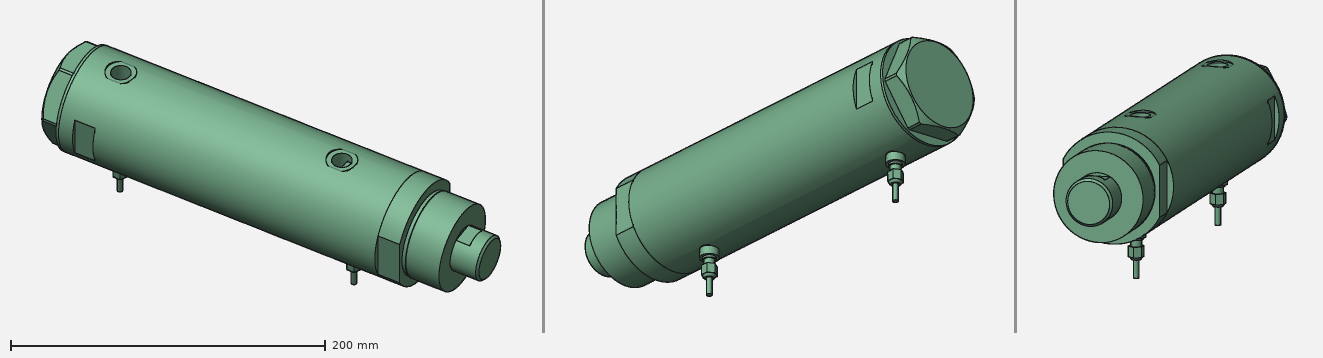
import cadquery as cq
import math


total_length = 311.5
outer_diameter = 73.0
outer_radius = outer_diameter / 2
bore_diameter = 40.0
head_plug_diameter = 59.8
rod_diameter = 31.0

hex_length = 14.3
hex_across_flats = 60.7
hex_corner_diameter = 69.2
hex_tilt = -7.3
hex_face_diameter = 59.2
hex_chamfer_length = 3.7
flange_thickness = 2.0
nose_end_x = 42.0

tube_start_x = hex_length + flange_thickness
tube_end_x = 248.0
wrench_flat_start_x = 26.5
wrench_flat_length = 15.0
tube_across_flats = 67.0

port_positions = (41.0, 203.0)
port_diameter = 13.0
spotface_diameter = 20.2
spotface_depth = 1.1

collar_length = 16.0
collar_across_flats = 64.5
groove_width = 2.8
groove_diameter = 58.5
neck_diameter = 59.8
neck_end_x = 291.3
head_plug_start_x = 203.5

piston_length = 18.7
rod_chamfer = 1.5
rod_flat_end_x = 301.2
rod_across_flats = 26.8

sensor_positions = (40.5, 211.8)
sensor_seat_z = -35.5
sensor_head_diameter = 12.5
sensor_head_bottom_z = -42.0
sensor_step_diameter = 9.0
sensor_step_bottom_z = -43.5
sensor_stem_diameter = 7.2
gland_top_z = -48.0
gland_bottom_z = -54.8
gland_across_flats = 9.0
gland_tip_z = -56.7
gland_tip_diameter = 6.2
cable_diameter = 3.7
cable_bottom_z = -69.0


def x_cylinder(diameter, start_x, end_x):
    """Round bar on the X axis."""
    profile = cq.Workplane("XZ").moveTo(start_x, 0).lineTo(end_x, 0)
    profile = profile.lineTo(end_x, diameter / 2).lineTo(start_x, diameter / 2).close()
    return profile.revolve(360, (0, 0, 0), (1, 0, 0))


def z_cylinder(diameter, x, bottom_z, top_z):
    """Round bar parallel to Z, centred on y = 0."""
    return cq.Workplane("XY", origin=(x, 0, bottom_z)).circle(diameter / 2).extrude(top_z - bottom_z)


def across_corners(across_flats):
    """Corner-to-corner size of a hexagon."""
    return across_flats / math.cos(math.pi / 6)


def flat_slab(axis, across_flats, start_x, end_x):
    """Slab centred on the cylinder axis; a round bar intersected with it gets two flats across that axis."""
    width_y = across_flats if axis == "Y" else outer_diameter
    width_z = across_flats if axis == "Z" else outer_diameter
    return cq.Workplane("YZ", origin=(start_x, 0, 0)).rect(width_y, width_z).extrude(end_x - start_x)


def flatted_bar(diameter, start_x, end_x, axis, across_flats):
    """Round bar on the X axis with two parallel flats."""
    return x_cylinder(diameter, start_x, end_x).intersect(flat_slab(axis, across_flats, start_x, end_x))


def make_end_cap():
    hexagon = cq.Workplane("YZ").polygon(6, across_corners(hex_across_flats)).extrude(hex_length)
    hexagon = hexagon.rotate((0, 0, 0), (1, 0, 0), hex_tilt)
    corner_radius = hex_corner_diameter / 2
    turned_shape = (
        cq.Workplane("XZ")
        .polyline([
            (0, 0),
            (0, hex_face_diameter / 2),
            (hex_chamfer_length, corner_radius),
            (hex_length, corner_radius),
            (hex_length, 0),
        ])
        .close()
        .revolve(360, (0, 0, 0), (1, 0, 0))
    )
    flange = x_cylinder(outer_diameter, hex_length, tube_start_x)
    nose = x_cylinder(bore_diameter, tube_start_x, nose_end_x)
    return hexagon.intersect(turned_shape).union(flange).union(nose)


def make_tube():
    wrench_flat_end_x = wrench_flat_start_x + wrench_flat_length
    tube = (
        x_cylinder(outer_diameter, tube_start_x, wrench_flat_start_x)
        .union(flatted_bar(outer_diameter, wrench_flat_start_x, wrench_flat_end_x, "Y", tube_across_flats))
        .union(x_cylinder(outer_diameter, wrench_flat_end_x, tube_end_x))
        .cut(x_cylinder(bore_diameter, tube_start_x, head_plug_start_x))
        .cut(x_cylinder(head_plug_diameter, head_plug_start_x, tube_end_x))
    )
    for x in port_positions:
        tube = tube.cut(z_cylinder(port_diameter, x, 0, outer_radius))
        tube = tube.cut(z_cylinder(spotface_diameter, x, outer_radius - spotface_depth, outer_radius))
    for x in sensor_positions:
        tube = tube.cut(z_cylinder(sensor_head_diameter, x, -outer_radius, sensor_seat_z))
    return tube


def make_head():
    collar_end_x = tube_end_x + collar_length
    neck_start_x = collar_end_x + groove_width
    head = (
        x_cylinder(head_plug_diameter, head_plug_start_x, tube_end_x)
        .union(flatted_bar(outer_diameter, tube_end_x, collar_end_x, "Y", collar_across_flats))
        .union(x_cylinder(groove_diameter, collar_end_x, neck_start_x))
        .union(x_cylinder(neck_diameter, neck_start_x, neck_end_x))
    )
    return head.cut(x_cylinder(rod_diameter, head_plug_start_x, neck_end_x))


def make_rod():
    piston_end_x = nose_end_x + piston_length
    tip = x_cylinder(rod_diameter, rod_flat_end_x, total_length).faces(">X").chamfer(rod_chamfer)
    return (
        x_cylinder(bore_diameter, nose_end_x, piston_end_x)
        .union(x_cylinder(rod_diameter, piston_end_x, neck_end_x))
        .union(flatted_bar(rod_diameter, neck_end_x, rod_flat_end_x, "Z", rod_across_flats))
        .union(tip)
    )


def make_sensor(x):
    gland_height = gland_top_z - gland_bottom_z
    gland = (
        cq.Workplane("XY", origin=(x, 0, gland_bottom_z))
        .polygon(6, across_corners(gland_across_flats))
        .extrude(gland_height)
    )
    gland_tip = (
        cq.Workplane("XY", origin=(x, 0, gland_bottom_z))
        .circle(gland_across_flats / 2)
        .workplane(offset=gland_tip_z - gland_bottom_z)
        .circle(gland_tip_diameter / 2)
        .loft()
    )
    return (
        z_cylinder(sensor_head_diameter, x, sensor_head_bottom_z, sensor_seat_z)
        .union(z_cylinder(sensor_step_diameter, x, sensor_step_bottom_z, sensor_head_bottom_z))
        .union(z_cylinder(sensor_stem_diameter, x, gland_top_z, sensor_step_bottom_z))
        .union(gland)
        .union(gland_tip)
        .union(z_cylinder(cable_diameter, x, cable_bottom_z, gland_tip_z))
    )


end_cap = make_end_cap()
tube = make_tube()
head = make_head()
rod = make_rod()
sensors = [make_sensor(x) for x in sensor_positions]

result = cq.Compound.makeCompound([
    end_cap.val(),
    tube.val(),
    head.val(),
    rod.val(),
    *[sensor.val() for sensor in sensors],
])